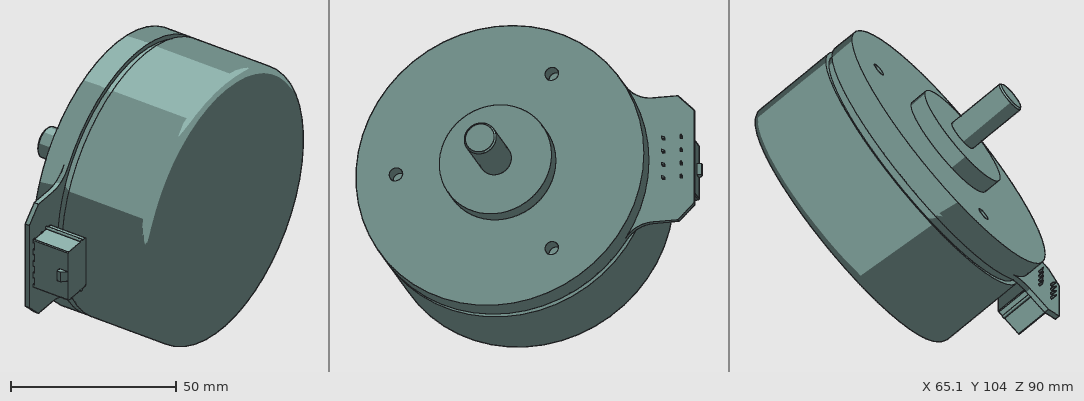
import cadquery as cq
import math


shaft_length = 19.5
boss_thickness = 5.5
flange_thickness = 6.5
board_thickness = 1.6
neck_thickness = 2.5
housing_length = 29.5

boss_front = shaft_length
flange_front = boss_front + boss_thickness
board_front = flange_front + flange_thickness
board_back = board_front + board_thickness
housing_front = board_back + neck_thickness
housing_back = housing_front + housing_length

body_radius = 90.0 / 2
neck_radius = 87.0 / 2
boss_radius = 35.0 / 2
shaft_radius = 10.0 / 2
shaft_chamfer = 0.5
housing_fillet = 2.5

hole_count = 3
hole_circle_radius = 32.5
hole_diameter = 4.2
hole_depth = 5.0
drill_point_angle = 118

overall_width = 104.0
tab_end = body_radius - overall_width
tab_half_width = 40.0 / 2
tab_chamfer = 5.0
tab_fillet = 10.0

connector_center_y = -52.2
connector_depth = 9.8
connector_width = 17.7
connector_height = 12.8
connector_chamfer = 0.3
connector_top = board_back + connector_height

slot_height_along_y = 0.5
inner_slot_start = 0.9
inner_slot_end = 3.3
outer_slot_start = 5.2
outer_slot_end = 7.6
slot_height_along_z = 0.3
end_slot_start = 0.3
end_slot_end = 3.8

ridge_offset = 2.5
ridge_width = 1.0
ridge_height = 0.6

latch_width = 3.5
latch_length = 3.1
latch_flat = 1.2
latch_height = 1.5

pins_per_row = 4
pin_row_center_y = -52.4
pin_pitch = 4.3
pin_row_spacing = 5.5
pin_size = 0.6
pin_protrusion = 2.0
pin_bevel = 0.9


def centered_box(x_start, x_end, center_y, depth, center_z, width):
    """Box between two X stations, centered on a point of the YZ plane."""
    return cq.Workplane("XY").box(x_end - x_start, depth, width, centered=(False, True, True)).translate(
        (x_start, center_y, center_z)
    )


def make_round_body():
    """Shaft, boss, flange, neck and housing as one turned profile."""
    profile = (
        cq.Workplane("XY")
        .moveTo(0, 0)
        .lineTo(0, -(shaft_radius - shaft_chamfer))
        .lineTo(shaft_chamfer, -shaft_radius)
        .lineTo(boss_front, -shaft_radius)
        .lineTo(boss_front, -boss_radius)
        .lineTo(flange_front, -boss_radius)
        .lineTo(flange_front, -body_radius)
        .lineTo(board_front, -body_radius)
        .lineTo(board_front, -neck_radius)
        .lineTo(housing_front, -neck_radius)
        .lineTo(housing_front, -body_radius)
        .lineTo(housing_back - housing_fillet, -body_radius)
        .radiusArc((housing_back, -(body_radius - housing_fillet)), -housing_fillet)
        .lineTo(housing_back, 0)
        .close()
    )
    return profile.revolve(360, (0, 0, 0), (1, 0, 0))


def make_mounting_holes():
    """Drilled holes with conical bottoms, the first one on the +Y side."""
    hole_radius = hole_diameter / 2
    point_depth = hole_radius / math.tan(math.radians(drill_point_angle / 2))
    hole = (
        cq.Workplane("XY")
        .moveTo(0, 0)
        .lineTo(0, hole_radius)
        .lineTo(hole_depth, hole_radius)
        .lineTo(hole_depth + point_depth, 0)
        .close()
        .revolve(360, (0, 0, 0), (1, 0, 0))
        .translate((flange_front, hole_circle_radius, 0))
    )
    holes = cq.Workplane("XY")
    for index in range(hole_count):
        holes = holes.add(hole.rotate((0, 0, 0), (1, 0, 0), index * 360 / hole_count))
    return holes.combine()


def make_board():
    """Round circuit board whose tab runs into the disc through tangent fillets."""
    fillet_center_z = tab_half_width + tab_fillet
    fillet_center_y = -math.sqrt((body_radius + tab_fillet) ** 2 - fillet_center_z**2)
    disc_share = body_radius / (body_radius + tab_fillet)
    tangent_y = fillet_center_y * disc_share
    tangent_z = fillet_center_z * disc_share
    shoulder_y = tab_end + tab_chamfer
    corner_z = tab_half_width - tab_chamfer
    return (
        cq.Workplane("YZ", origin=(board_front, 0, 0))
        .moveTo(tangent_y, tangent_z)
        .threePointArc((body_radius, 0), (tangent_y, -tangent_z))
        .radiusArc((fillet_center_y, -tab_half_width), -tab_fillet)
        .lineTo(shoulder_y, -tab_half_width)
        .lineTo(tab_end, -corner_z)
        .lineTo(tab_end, corner_z)
        .lineTo(shoulder_y, tab_half_width)
        .lineTo(fillet_center_y, tab_half_width)
        .radiusArc((tangent_y, tangent_z), -tab_fillet)
        .close()
        .extrude(board_thickness)
    )


def make_connector_body():
    """Plain block with chamfered long edges, standing on feet left between crossing slots."""
    block = centered_box(board_back, connector_top, connector_center_y, connector_depth, 0, connector_width)
    block = block.edges("|X").chamfer(connector_chamfer)

    slot_roof = board_back + slot_height_along_y
    for start, end in ((inner_slot_start, inner_slot_end), (outer_slot_start, outer_slot_end)):
        for side in (1, -1):
            slot_z = side * (start + end) / 2
            block = block.cut(
                centered_box(board_back, slot_roof, connector_center_y, connector_depth, slot_z, end - start)
            )

    slot_roof = board_back + slot_height_along_z
    slot_depth = end_slot_end - end_slot_start
    for side in (1, -1):
        slot_y = connector_center_y + side * (end_slot_start + end_slot_end) / 2
        block = block.cut(centered_box(board_back, slot_roof, slot_y, slot_depth, 0, connector_width))
    return block


def make_ridges():
    """Rounded ridges along the +Z and -Z ends of the connector."""
    ridge_y = connector_center_y + ridge_offset
    base_z = connector_width / 2
    upper = (
        cq.Workplane("YZ", origin=(board_back, 0, 0))
        .moveTo(ridge_y - ridge_width / 2, base_z)
        .threePointArc((ridge_y, base_z + ridge_height), (ridge_y + ridge_width / 2, base_z))
        .close()
        .extrude(connector_height)
    )
    return upper.union(upper.mirror("XY"))


def make_latch():
    """Ramp that rises from the free end of the connector toward the board."""
    face_y = connector_center_y - connector_depth / 2
    latch_start = connector_top - latch_length
    return (
        cq.Workplane("XY")
        .moveTo(latch_start, face_y)
        .lineTo(latch_start, face_y - latch_height)
        .lineTo(latch_start + latch_flat, face_y - latch_height)
        .lineTo(connector_top, face_y)
        .close()
        .extrude(latch_width / 2, both=True)
    )


def make_pins():
    """Two rows of square pins through the board, beveled on the sides facing each other."""
    tip = board_front - pin_protrusion
    root = board_back + slot_height_along_y
    outer_y = (pin_row_spacing + pin_size) / 2
    inner_y = (pin_row_spacing - pin_size) / 2
    pin = (
        cq.Workplane("XY")
        .moveTo(tip, outer_y)
        .lineTo(root, outer_y)
        .lineTo(root, inner_y)
        .lineTo(tip + pin_bevel, inner_y)
        .close()
        .extrude(pin_size / 2, both=True)
    )
    pin_pair = pin.union(pin.mirror("XZ"))
    pins = cq.Workplane("XY")
    for index in range(pins_per_row):
        pin_z = (index - (pins_per_row - 1) / 2) * pin_pitch
        pins = pins.add(pin_pair.translate((0, pin_row_center_y, pin_z)))
    return pins.combine()


result = make_round_body().union(make_board()).cut(make_mounting_holes())
for feature in (make_connector_body(), make_ridges(), make_latch(), make_pins()):
    result = result.union(feature)